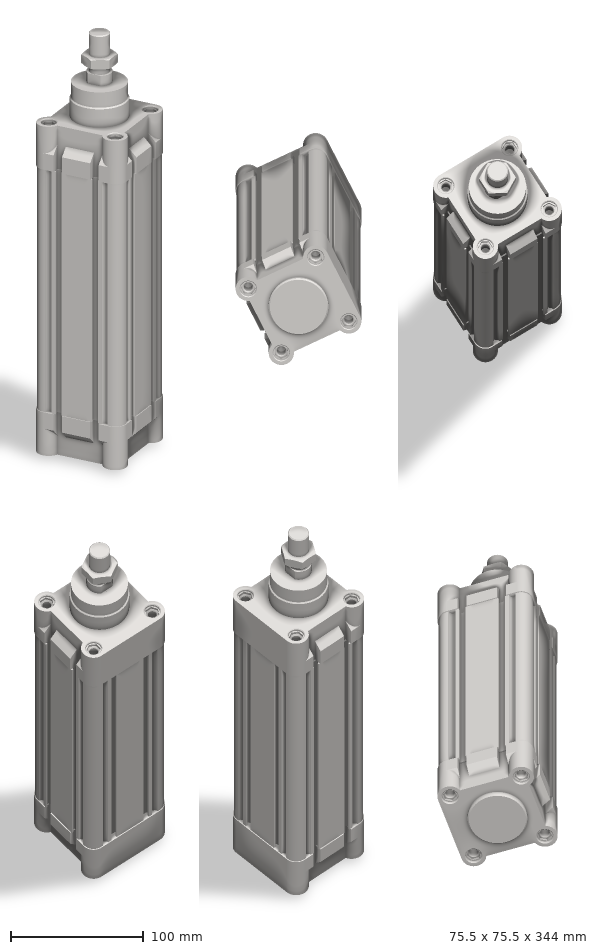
import cadquery as cq
import math

HEX_SIDES = 6
HALF_HEX_ANGLE = 180 / HEX_SIDES

CAP_SIZE = 75.5
HALF_CAP = CAP_SIZE / 2
BOLT_OFFSET = 28.25
COLUMN_RADIUS = HALF_CAP - BOLT_OFFSET
HALF_WAIST = 31.5
HALF_PAD = 12.0
CORNER_PAD_START = 19.2
CAP_LENGTH = 35.6
PAD_LENGTH = 13.5
PAD_DEPTH = HALF_CAP - HALF_WAIST

TUBE_LENGTH = 199.8
HALF_TUBE = 37.0
TUBE_CORNER_RADIUS = HALF_TUBE - BOLT_OFFSET

GROOVE_START = 12.95
GROOVE_END = 18.1
UNDERCUT_START = 11.0
UNDERCUT_END = 20.0
GROOVE_FLOOR = 32.5
LIP_THICKNESS = 1.5
UNDERCUT_CHAMFER = 1.0

SENSOR_OFFSET = 23.8
SENSOR_RADIUS = 2.6
SENSOR_SLIT_WIDTH = 1.0
SENSOR_SLIT_DEPTH = 0.5

SOCKET_RIM_DIAMETER = 13.2
SOCKET_DIAMETER = 12.0
SOCKET_DEPTH = 2.0
HEX_WIDTH = 9.5
HEX_DEPTH = 2.0
THREAD_RIM_DIAMETER = 8.0
THREAD_DIAMETER = 6.65
THREAD_DEPTH = 14.0
DRILL_POINT_ANGLE = 118.0

COLLAR_DIAMETER = 45.0
NECK_DIAMETER = 43.0
COLLAR_CHAMFER = (COLLAR_DIAMETER - NECK_DIAMETER) / 2
REAR_COLLAR_LENGTH = 4.0
FRONT_COLLAR_LENGTH = 15.0
FRONT_NECK_TOP = 28.5

TOTAL_LENGTH = 344.0
ROD_DIAMETER = 20.0
ROD_FLATS = 17.0
ROD_SHOULDER_BELOW_TIP = 32.0
STUD_DIAMETER = 16.0
STUD_TIP_DIAMETER = 14.38
STUD_CHAMFER = (STUD_DIAMETER - STUD_TIP_DIAMETER) / 2
NUT_WIDTH = 24.0
NUT_HEIGHT = 8.0
NUT_TOP_BELOW_TIP = 18.0
NUT_CHAMFER_ANGLE = 20.0

REAR_CAP_BASE = REAR_COLLAR_LENGTH
TUBE_BASE = REAR_CAP_BASE + CAP_LENGTH
TUBE_TOP = TUBE_BASE + TUBE_LENGTH
FRONT_CAP_TOP = TUBE_TOP + CAP_LENGTH
NECK_TOP = FRONT_CAP_TOP + FRONT_NECK_TOP
ROD_SHOULDER = TOTAL_LENGTH - ROD_SHOULDER_BELOW_TIP
NUT_TOP = TOTAL_LENGTH - NUT_TOP_BELOW_TIP
NUT_BASE = NUT_TOP - NUT_HEIGHT


def cylinder(diameter, base, top):
    return cq.Workplane("XY").workplane(offset=base).circle(diameter / 2).extrude(top - base)


def box(x_min, x_max, y_min, y_max, z_min, z_max):
    return cq.Workplane("XY").box(
        x_max - x_min, y_max - y_min, z_max - z_min, centered=False
    ).translate((x_min, y_min, z_min))


def turned(points):
    """Solid of revolution about Z from (radius, z) points."""
    return cq.Workplane("XZ").polyline(points).close().revolve(360, (0, 0, 0), (0, 1, 0))


def around_z(shape, angles):
    return [shape.rotate((0, 0, 0), (0, 0, 1), angle) for angle in angles]


QUARTER_TURNS = (0, 90, 180, 270)
PAD_TURNS = (0, 90, 270)


def cap_pad(x_min, x_max):
    """Pad on the -Y face, rising from the tube end and sloping back to the waist."""
    profile = [
        (-HALF_WAIST, 0),
        (-HALF_CAP, 0),
        (-HALF_CAP, PAD_LENGTH),
        (-HALF_WAIST, PAD_LENGTH + PAD_DEPTH),
    ]
    return cq.Workplane("YZ").workplane(offset=x_min).polyline(profile).close().extrude(x_max - x_min)


def screw_socket():
    """Cutter for one screw socket, opening at the cap's outer face."""
    rim_radius = SOCKET_RIM_DIAMETER / 2
    socket_radius = SOCKET_DIAMETER / 2
    thread_rim_radius = THREAD_RIM_DIAMETER / 2
    thread_radius = THREAD_DIAMETER / 2
    point_length = thread_radius / math.tan(math.radians(DRILL_POINT_ANGLE / 2))
    socket_floor = CAP_LENGTH - SOCKET_DEPTH
    hex_floor = socket_floor - HEX_DEPTH
    thread_floor = CAP_LENGTH - THREAD_DEPTH
    hexagon = (
        cq.Workplane("XY").workplane(offset=hex_floor)
        .polygon(HEX_SIDES, HEX_WIDTH, circumscribed=True).extrude(HEX_DEPTH)
    )
    bore = turned([
        (0, CAP_LENGTH),
        (rim_radius, CAP_LENGTH),
        (socket_radius, CAP_LENGTH - (rim_radius - socket_radius)),
        (socket_radius, socket_floor),
        (thread_rim_radius, socket_floor),
        (thread_rim_radius, hex_floor),
        (thread_radius, hex_floor - (thread_rim_radius - thread_radius)),
        (thread_radius, thread_floor),
        (0, thread_floor - point_length),
    ])
    return bore.union(hexagon)


def end_cap():
    """Cap with its tube end at Z = 0 and its outer face at Z = CAP_LENGTH."""
    cap = box(-HALF_WAIST, HALF_WAIST, -HALF_WAIST, HALF_WAIST, 0, CAP_LENGTH)
    cap = cap.union(box(-BOLT_OFFSET, BOLT_OFFSET, 0, HALF_CAP, 0, CAP_LENGTH))
    column = cylinder(2 * COLUMN_RADIUS, 0, CAP_LENGTH).translate((BOLT_OFFSET, BOLT_OFFSET, 0))
    for turned_column in around_z(column, QUARTER_TURNS):
        cap = cap.union(turned_column)
    pad_spans = [
        (-BOLT_OFFSET, -CORNER_PAD_START),
        (-HALF_PAD, HALF_PAD),
        (CORNER_PAD_START, BOLT_OFFSET),
    ]
    for x_min, x_max in pad_spans:
        for pad in around_z(cap_pad(x_min, x_max), PAD_TURNS):
            cap = cap.union(pad)
    socket = screw_socket().translate((BOLT_OFFSET, BOLT_OFFSET, 0))
    for turned_socket in around_z(socket, QUARTER_TURNS):
        cap = cap.cut(turned_socket)
    return cap


def wide_groove():
    """Cutter for the undercut groove right of the middle of the -Y face."""
    lip_bottom = HALF_TUBE - LIP_THICKNESS
    points = [
        (GROOVE_START, -HALF_TUBE),
        (GROOVE_END, -HALF_TUBE),
        (GROOVE_END, -lip_bottom),
        (UNDERCUT_END, -lip_bottom),
        (UNDERCUT_END, -GROOVE_FLOOR - UNDERCUT_CHAMFER),
        (UNDERCUT_END - UNDERCUT_CHAMFER, -GROOVE_FLOOR),
        (UNDERCUT_START, -GROOVE_FLOOR),
        (UNDERCUT_START, -lip_bottom),
        (GROOVE_START, -lip_bottom),
    ]
    return cq.Workplane("XY").polyline(points).close().extrude(TUBE_LENGTH)


def sensor_groove():
    """Cutter for the half-round groove near the right corner of the -Y face."""
    slit_bottom = HALF_TUBE - SENSOR_RADIUS - SENSOR_SLIT_DEPTH
    half_slit = SENSOR_SLIT_WIDTH / 2
    slit = box(
        SENSOR_OFFSET - half_slit, SENSOR_OFFSET + half_slit,
        -HALF_TUBE, -slit_bottom, 0, TUBE_LENGTH,
    )
    return cylinder(2 * SENSOR_RADIUS, 0, TUBE_LENGTH).translate((SENSOR_OFFSET, -HALF_TUBE, 0)).union(slit)


def tube():
    body = box(-HALF_TUBE, HALF_TUBE, -HALF_TUBE, HALF_TUBE, 0, TUBE_LENGTH)
    body = body.edges("|Z").fillet(TUBE_CORNER_RADIUS)
    for groove in (wide_groove(), sensor_groove()):
        for cutter in around_z(groove, QUARTER_TURNS) + around_z(groove.mirror("YZ"), QUARTER_TURNS):
            body = body.cut(cutter)
    return body


def rear_collar():
    return cylinder(COLLAR_DIAMETER, 0, REAR_CAP_BASE).faces("<Z").chamfer(COLLAR_CHAMFER)


def front_collar():
    collar_top = FRONT_CAP_TOP + FRONT_COLLAR_LENGTH
    return turned([
        (0, FRONT_CAP_TOP),
        (COLLAR_DIAMETER / 2, FRONT_CAP_TOP),
        (COLLAR_DIAMETER / 2, collar_top),
        (NECK_DIAMETER / 2, collar_top + COLLAR_CHAMFER),
        (NECK_DIAMETER / 2, NECK_TOP),
        (0, NECK_TOP),
    ])


def make_housing():
    body = tube().translate((0, 0, TUBE_BASE))
    body = body.union(end_cap().translate((0, 0, TUBE_TOP)))
    body = body.union(end_cap().mirror("XY").translate((0, 0, TUBE_BASE)))
    body = body.union(rear_collar()).union(front_collar())
    return body.cut(cylinder(ROD_DIAMETER, TUBE_TOP, NECK_TOP))


def make_rod():
    """Rod reaching down through the front cap, with two wrench flats and a stud for the nut."""
    rod = cylinder(ROD_DIAMETER, TUBE_TOP, ROD_SHOULDER)
    half_flats = ROD_FLATS / 2
    radius = ROD_DIAMETER / 2
    rod = rod.cut(box(-radius, radius, half_flats, radius, NECK_TOP, ROD_SHOULDER))
    rod = rod.cut(box(-radius, radius, -radius, -half_flats, NECK_TOP, ROD_SHOULDER))
    stud = cylinder(STUD_DIAMETER, ROD_SHOULDER, TOTAL_LENGTH).faces(">Z").chamfer(STUD_CHAMFER)
    return rod.union(stud)


def make_nut():
    """Hexagon nut with flats facing +X and -X and conical chamfers at both ends."""
    corner_radius = NUT_WIDTH / 2 / math.cos(math.radians(HALF_HEX_ANGLE))
    flat_radius = NUT_WIDTH / 2
    drop = (corner_radius - flat_radius) * math.tan(math.radians(NUT_CHAMFER_ANGLE))
    hexagon = (
        cq.Workplane("XY").polygon(HEX_SIDES, 2 * corner_radius).extrude(NUT_HEIGHT)
        .rotate((0, 0, 0), (0, 0, 1), HALF_HEX_ANGLE)
    )
    envelope = turned([
        (0, 0),
        (flat_radius, 0),
        (corner_radius, drop),
        (corner_radius, NUT_HEIGHT - drop),
        (flat_radius, NUT_HEIGHT),
        (0, NUT_HEIGHT),
    ])
    nut = hexagon.intersect(envelope).translate((0, 0, NUT_BASE))
    return nut.cut(cylinder(STUD_DIAMETER, NUT_BASE, NUT_TOP))


housing = make_housing()
rod = make_rod()
nut = make_nut()

result = cq.Compound.makeCompound([housing.val(), rod.val(), nut.val()])